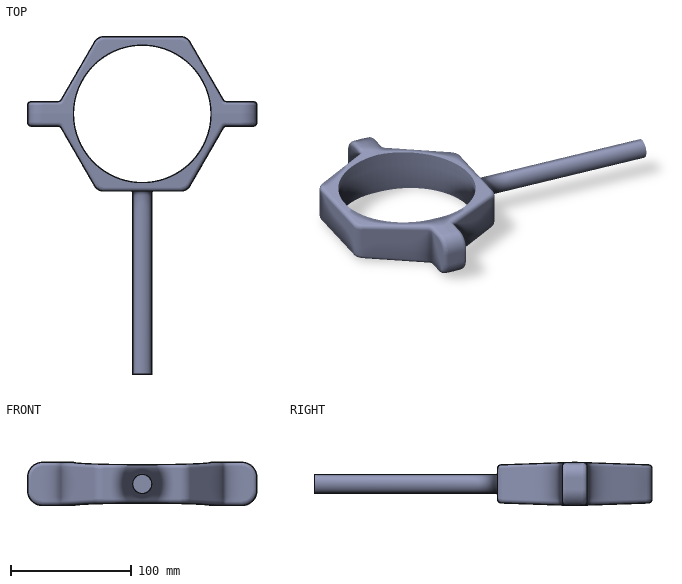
import cadquery as cq
import math

across_flats = 128.73
bore_diameter = 114.3
ridge_height = 36.25
face_slope = 2.0
hex_corner_radius = 9.0

overall_width = 191.01
lug_thickness = 20.6
lug_root_radius = 3.0
lug_end_radius = 12.7

edge_radius = 3.175

rod_diameter = 15.875
rod_length = 152.4
rod_root_radius = 0.9

half_flats = across_flats / 2
half_width = overall_width / 2
half_lug = lug_thickness / 2
half_ridge = ridge_height / 2
hex_side_run = math.tan(math.radians(30))
hex_corner_x = half_flats * hex_side_run
lug_root_x = hex_corner_x + (half_flats - half_lug) * hex_side_run
rim_half_height = half_ridge - half_flats * math.tan(math.radians(face_slope))
selection_gap = 0.1


def vertical_edges_at(x, y):
    """Select the two upright edges at (x, y) and (-x, y)."""
    return cq.selectors.BoxSelector(
        (-x - selection_gap, y - selection_gap, -half_ridge),
        (-x + selection_gap, y + selection_gap, half_ridge),
    ) + cq.selectors.BoxSelector(
        (x - selection_gap, y - selection_gap, -half_ridge),
        (x + selection_gap, y + selection_gap, half_ridge),
    )


def make_sloped_slab():
    """Slab for the +Y half, thickest at Y = 0 and thinner towards the rim."""
    return (
        cq.Workplane("YZ")
        .polyline([
            (0, -half_ridge),
            (half_flats, -rim_half_height),
            (half_flats, rim_half_height),
            (0, half_ridge),
        ])
        .close()
        .extrude(half_width, both=True)
    )


def make_half_body():
    """The +Y half of the ring and lugs, rounded but not yet bored."""
    outline = (
        cq.Workplane("XY")
        .workplane(offset=-half_ridge)
        .polyline([
            (-half_width, 0),
            (-half_width, half_lug),
            (-lug_root_x, half_lug),
            (-hex_corner_x, half_flats),
            (hex_corner_x, half_flats),
            (lug_root_x, half_lug),
            (half_width, half_lug),
            (half_width, 0),
        ])
        .close()
        .extrude(ridge_height)
    )
    half = outline.intersect(make_sloped_slab())
    half = half.edges(vertical_edges_at(hex_corner_x, half_flats)).fillet(hex_corner_radius)
    half = half.edges(vertical_edges_at(lug_root_x, half_lug)).fillet(lug_root_radius)
    half = half.faces("<X or >X").edges("<Z or >Z").fillet(lug_end_radius)
    return half.faces(">Y").edges("<Z or >Z").fillet(edge_radius)


def make_rod():
    """Straight rod starting inside the wall of the ring."""
    wall_middle = (half_flats + bore_diameter / 2) / 2
    return (
        cq.Workplane("XZ", origin=(0, -wall_middle, 0))
        .circle(rod_diameter / 2)
        .extrude(half_flats + rod_length - wall_middle)
    )


def fillet_rod_root(part):
    """Blend the rod into the flat -Y side of the hexagon."""
    root = cq.selectors.BoxSelector(
        (-rod_diameter, -half_flats - selection_gap, -rod_diameter),
        (rod_diameter, -half_flats + selection_gap, rod_diameter),
    )
    return part.edges(root).edges("%CIRCLE").fillet(rod_root_radius)


rear_half = make_half_body()
body = rear_half.union(rear_half.mirror("XZ"))
bore = cq.Workplane("XY").circle(bore_diameter / 2).extrude(ridge_height, both=True)
body = body.cut(bore)
result = fillet_rod_root(body.union(make_rod()))